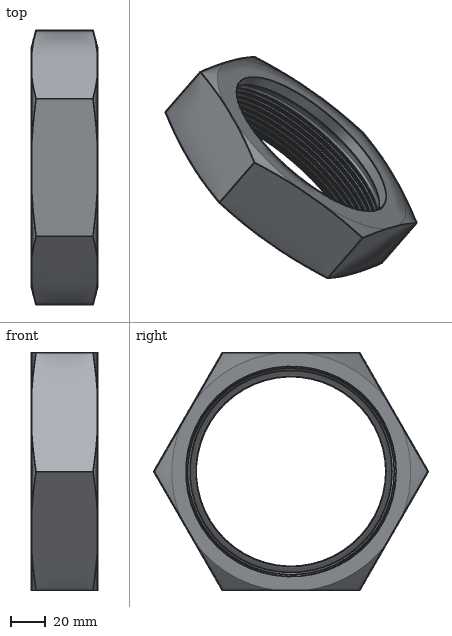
import cadquery as cq
import math

thickness = 38.1
across_flats = 136.38
across_corners = across_flats / math.cos(math.pi / 6)
corner_chamfer_depth = 2.7
face_circle_diameter = 137.2

lip_diameter = 108.84
lip_width = 6.35
relief_diameter = 120.67
relief_width = 6.35
relief_fillet = 1.5
relief_end = lip_width + relief_width
entry_diameter = 120.67

thread_minor_diameter = 115.98
thread_major_diameter = 120.29
thread_pitch = 3.175
flank_half_angle = math.radians(14.5)
thread_depth = (thread_major_diameter - thread_minor_diameter) / 2
flank_width = thread_depth * math.tan(flank_half_angle)
crest_flat = 0.7
groove_mouth = thread_pitch - crest_flat
root_flat = groove_mouth - 2 * flank_width
first_groove = relief_end + groove_mouth / 2
groove_count = 8
groove_overcut = 1.0


def revolve_about_x(profile):
    """Revolve a closed profile of (x, radius) points about the X axis."""
    return profile.close().revolve(360, (0, 0, 0), (1, 0, 0))


def hexagon_body():
    """Hexagonal prism with flats facing +Z and -Z and corners on the Y axis."""
    return cq.Workplane("YZ").polygon(6, across_corners).extrude(thickness)


def corner_envelope():
    """Solid of revolution whose conical ends chamfer the six corners."""
    face_radius = face_circle_diameter / 2
    corner_radius = across_corners / 2
    outline = [
        (0, 0),
        (0, face_radius),
        (corner_chamfer_depth, corner_radius),
        (thickness - corner_chamfer_depth, corner_radius),
        (thickness, face_radius),
        (thickness, 0),
    ]
    return revolve_about_x(cq.Workplane("XY").polyline(outline))


def bore_cylinder(diameter, start, end):
    """Cylinder on the X axis between two X positions."""
    return cq.Workplane("YZ", origin=(start, 0, 0)).circle(diameter / 2).extrude(end - start)


def relief():
    """Wide groove behind the lip, filleted where it meets the thread."""
    return bore_cylinder(relief_diameter, lip_width, relief_end).faces(">X").edges().fillet(relief_fillet)


def entry_chamfer():
    """45 degree cone that leads into the thread from the +X face."""
    mouth_radius = thread_minor_diameter / 2
    entry_radius = entry_diameter / 2
    chamfer_depth = entry_radius - mouth_radius
    outline = [
        (thickness - chamfer_depth, 0),
        (thickness - chamfer_depth, mouth_radius),
        (thickness, entry_radius),
        (thickness, 0),
    ]
    return revolve_about_x(cq.Workplane("XY").polyline(outline))


def thread_groove(center):
    """Ring groove with a flat root and sloping flanks."""
    root_radius = thread_major_diameter / 2
    mouth_radius = thread_minor_diameter / 2
    half_root = root_flat / 2
    half_mouth = groove_mouth / 2
    outline = [
        (center - half_mouth, mouth_radius),
        (center - half_root, root_radius),
        (center + half_root, root_radius),
        (center + half_mouth, mouth_radius),
        (center + half_mouth, mouth_radius - groove_overcut),
        (center - half_mouth, mouth_radius - groove_overcut),
    ]
    return revolve_about_x(cq.Workplane("XY").polyline(outline))


result = hexagon_body().intersect(corner_envelope())
result = result.cut(bore_cylinder(lip_diameter, 0, thickness))
result = result.cut(bore_cylinder(thread_minor_diameter, lip_width, thickness))
result = result.cut(relief())
result = result.cut(entry_chamfer())
for index in range(groove_count):
    result = result.cut(thread_groove(first_groove + index * thread_pitch))